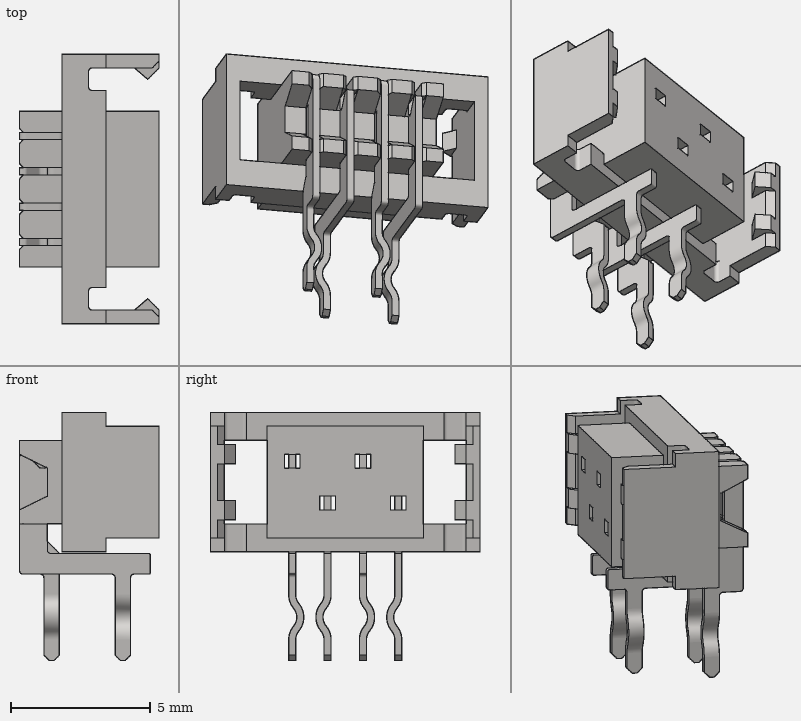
import cadquery as cq
import math


length = 5.0
width = 9.68
collar_start = 1.52
collar_end = 3.11
collar_half_height = 2.5
block_half_width = 2.8
block_half_height = 2.0
comb_half_height = 1.5
arm_thickness = 0.5
arm_inner = width / 2 - arm_thickness
arm_chamfer = 0.25
arm_relief_start = 2.48
arm_relief_inner = 3.53
arm_relief_radius = 0.14

hook_start = 4.12
hook_tip = 4.6
hook_reach = 0.41
hook_height = 0.7
hook_level = 1.01

notch_depth = 1.0
notch_mouth_half = 1.0
notch_floor_half = 0.5

cavity_width = 0.55
slot_lead_in = 0.14

pitch = 1.27
contact_count = 4
sheet = 0.26
blade_width = notch_depth
blade_bottom = -3.3
finger_end = 1.665
finger_bottom = -notch_floor_half
slit_start = 0.7
slit_end = 0.91
finger_radius = 0.26
foot_top = -2.56
foot_end = 4.69
foot_end_radius = 0.06
corner_radius = 0.13
shelf_end = 0.24

leg_width = 0.56
front_leg_start = 0.87
rear_leg_start = 3.43
leg_bottom = -6.4
leg_tip_chamfer = 0.19
bend_top = -4.04
bend_span = 1.62
bend_offset = 0.29


def box(x_range, y_range, z_range):
    """Box between the given pairs of limits."""
    size = [high - low for low, high in (x_range, y_range, z_range)]
    corner = (x_range[0], y_range[0], z_range[0])
    return cq.Workplane("XY").box(*size, centered=False).translate(corner)


def mirrored(half_size):
    """Pair of limits symmetric about zero."""
    return (-half_size, half_size)


def both_sides(body):
    """The body together with its mirror image across Y = 0."""
    return body.union(body.mirror("XZ"))


def round_edge(body, x, z, radius):
    """Fillet the edge along Y whose centre lies at (x, 0, z)."""
    return body.edges(cq.selectors.NearestToPointSelector((x, 0, z))).fillet(radius)


def arm_hooks():
    """Two wedge-shaped latch hooks, one above the other, on the +Y arm."""
    outline = [
        (hook_start, arm_inner),
        (hook_tip, arm_inner - hook_reach),
        (length, arm_inner),
        (length, arm_inner + arm_chamfer),
        (length - arm_chamfer, arm_inner + arm_chamfer),
    ]
    hook = (
        cq.Workplane("XY")
        .polyline(outline)
        .close()
        .extrude(hook_height / 2, both=True)
    )
    upper = hook.translate((0, 0, hook_level))
    lower = hook.translate((0, 0, -hook_level))
    return upper.union(lower)


def arm():
    """Latch arm on the +Y side, chamfered inside at its free end."""
    bar = box((collar_start, length), (arm_inner, width / 2), mirrored(block_half_height))
    bar = bar.edges(">X and |Z and <Y").chamfer(arm_chamfer)
    return bar.union(arm_hooks())


def collar():
    """Flange with a side window and an arm relief at each end."""
    x_range = (collar_start, collar_end)
    flange = box(x_range, mirrored(width / 2), mirrored(collar_half_height))
    window = box(x_range, (block_half_width, arm_inner), mirrored(comb_half_height))
    relief = box(
        (arm_relief_start, collar_end), (arm_relief_inner, arm_inner), mirrored(collar_half_height)
    )
    relief = relief.edges("<X and |Z").fillet(arm_relief_radius)
    return flange.cut(both_sides(window.union(relief)))


def notch():
    """V-shaped notch with a flat floor, running the whole width of the comb."""
    outline = [
        (0, notch_mouth_half),
        (notch_depth, notch_floor_half),
        (notch_depth, -notch_floor_half),
        (0, -notch_mouth_half),
    ]
    return cq.Workplane("XZ").polyline(outline).close().extrude(block_half_width, both=True)


def contact_slot():
    """Slot that holds one contact, with a chamfered mouth."""
    half = sheet / 2
    slot = box((0, blade_width), mirrored(half), mirrored(comb_half_height))
    finger_pocket = box((0, finger_end), mirrored(half), (finger_bottom, comb_half_height))
    mouth_outline = [
        (0, half + slot_lead_in),
        (slot_lead_in, half),
        (slot_lead_in, -half),
        (0, -half - slot_lead_in),
    ]
    mouth = (
        cq.Workplane("XY")
        .polyline(mouth_outline)
        .close()
        .extrude(comb_half_height, both=True)
    )
    return slot.union(finger_pocket).union(mouth)


def cavity(upper):
    """Through passage for a mating pin, in the upper or the lower row."""
    z_range = (notch_floor_half, notch_mouth_half)
    if not upper:
        z_range = (-notch_mouth_half, -notch_floor_half)
    return box((0, length), mirrored(cavity_width / 2), z_range)


def has_front_leg(index):
    """Contacts alternate along the row, starting with a front leg at the +Y end."""
    return index % 2 == 0


def contact_y(index):
    return ((contact_count - 1) / 2 - index) * pitch


def make_housing():
    comb = box((0, collar_start), mirrored(block_half_width), mirrored(comb_half_height))
    block = box((collar_end, length), mirrored(block_half_width), mirrored(block_half_height))
    body = collar().union(comb).union(block).union(both_sides(arm()))
    body = body.cut(notch())
    for index in range(contact_count):
        opening = contact_slot().union(cavity(upper=not has_front_leg(index)))
        body = body.cut(opening.translate((0, contact_y(index), 0)))
    return body


def bent_leg(start):
    """Lower leg with a kink towards +Y made of three tangent bends, and a chamfered tip."""
    angle = 2 * math.atan(2 * bend_offset / bend_span)
    middle = bend_top - bend_span / 2
    bottom = bend_top - bend_span
    half = sheet / 2

    def inflection(side, direction):
        """Point on one face where two bends meet, above (+1) or below (-1) the middle."""
        y = bend_offset / 2 + side * math.cos(angle)
        z = middle + direction * (bend_span / 4 + side * math.sin(angle))
        return (y, z)

    strip = (
        cq.Workplane("YZ")
        .moveTo(-half, leg_bottom)
        .lineTo(-half, bottom)
        .tangentArcPoint(inflection(-half, -1), relative=False)
        .tangentArcPoint((bend_offset - half, middle), relative=False)
        .tangentArcPoint(inflection(-half, 1), relative=False)
        .tangentArcPoint((-half, bend_top), relative=False)
        .lineTo(-half, blade_bottom)
        .lineTo(half, blade_bottom)
        .lineTo(half, bend_top)
        .tangentArcPoint(inflection(half, 1), relative=False)
        .tangentArcPoint((bend_offset + half, middle), relative=False)
        .tangentArcPoint(inflection(half, -1), relative=False)
        .tangentArcPoint((half, bottom), relative=False)
        .lineTo(half, leg_bottom)
        .close()
        .extrude(leg_width)
        .translate((start, 0, 0))
    )
    return strip.faces("<Z").edges("|Y").chamfer(leg_tip_chamfer)


def sheet_plate(outline):
    """Flat plate of the contact sheet, centred on Y = 0."""
    return cq.Workplane("XZ").polyline(outline).close().extrude(sheet / 2, both=True)


def front_leg_contact():
    """Contact with a straight, slit blade and a front leg kinked towards -Y."""
    leg_end = front_leg_start + leg_width
    outline = [
        (0, blade_bottom),
        (front_leg_start, blade_bottom),
        (front_leg_start, bend_top),
        (leg_end, bend_top),
        (leg_end, foot_top),
        (blade_width, foot_top + leg_end - blade_width),
        (blade_width, finger_bottom),
        (finger_end, finger_bottom),
        (finger_end, comb_half_height),
        (0, comb_half_height),
    ]
    plate = sheet_plate(outline)
    plate = round_edge(plate, 0, blade_bottom, corner_radius)
    plate = round_edge(plate, front_leg_start, blade_bottom, corner_radius)
    plate = round_edge(plate, finger_end, comb_half_height, finger_radius)
    plate = round_edge(plate, 0, comb_half_height, finger_radius)
    slit = box((slit_start, slit_end), mirrored(sheet / 2), (-notch_mouth_half, notch_floor_half))
    plate = plate.cut(slit)
    return plate.union(bent_leg(front_leg_start).mirror("XZ"))


def rear_leg_contact():
    """Contact with a lowered blade edge, a raised finger and a long foot to its leg."""
    leg_end = rear_leg_start + leg_width
    ramp_end = shelf_end + notch_mouth_half - notch_floor_half
    outline = [
        (0, blade_bottom),
        (rear_leg_start, blade_bottom),
        (rear_leg_start, bend_top),
        (leg_end, bend_top),
        (leg_end, blade_bottom),
        (foot_end, blade_bottom),
        (foot_end, foot_top),
        (blade_width, foot_top),
        (blade_width, finger_bottom),
        (finger_end, finger_bottom),
        (finger_end, comb_half_height),
        (blade_width, comb_half_height),
        (blade_width, notch_floor_half),
        (ramp_end, notch_floor_half),
        (shelf_end, notch_mouth_half),
        (0, notch_mouth_half),
    ]
    plate = sheet_plate(outline)
    for x, z in [
        (0, blade_bottom),
        (rear_leg_start, blade_bottom),
        (leg_end, blade_bottom),
        (blade_width, foot_top),
        (blade_width, notch_floor_half),
        (ramp_end, notch_floor_half),
        (shelf_end, notch_mouth_half),
        (0, notch_mouth_half),
    ]:
        plate = round_edge(plate, x, z, corner_radius)
    for z in (blade_bottom, foot_top):
        plate = round_edge(plate, foot_end, z, foot_end_radius)
    plate = round_edge(plate, blade_width, comb_half_height, finger_radius)
    return plate.union(bent_leg(rear_leg_start))


def make_contacts():
    contacts = []
    for index in range(contact_count):
        contact = front_leg_contact() if has_front_leg(index) else rear_leg_contact()
        contacts.append(contact.translate((0, contact_y(index), 0)))
    return contacts


housing = make_housing()
contacts = make_contacts()
result = cq.Compound.makeCompound([housing.val(), *[contact.val() for contact in contacts]])